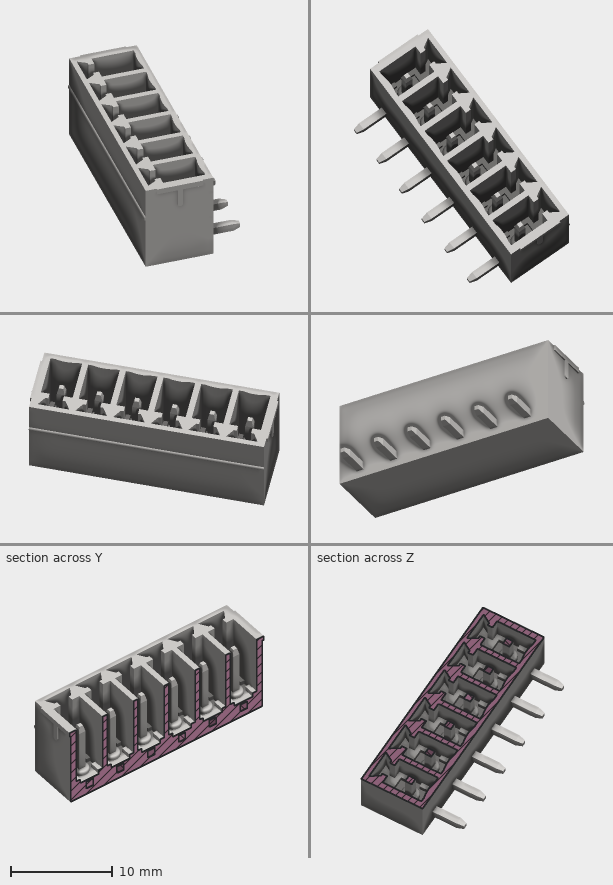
import cadquery as cq

ways = 6
pitch = 3.81
overall_length = 24.05
ear_thickness = 0.15
housing_length = overall_length - 2 * ear_thickness
housing_depth = 7.05
housing_height = 9.2

back_wall = 0.58
front_wall = 0.53
socket_width = 3.2
key_neck_width = 1.45
key_neck_depth = 0.6
key_shoulder_width = 2.05
key_wedge_depth = 0.94
floor_z = 2.4
wedge_y = front_wall + key_wedge_depth
chamber_front = wedge_y + key_neck_depth
chamber_back = housing_depth - back_wall
pin_setback = 2.8
pin_y = housing_depth - pin_setback

bulge_width = 2.24
bulge_rise = 0.15

well_width = bulge_width
well_ledge = 0.48
well_front = chamber_front + well_ledge
well_depth = 0.48
well_z = floor_z - well_depth
cross_slot_width = 0.8

boss_diameter = 1.92
boss_height = well_depth
boss_rounding = 0.25

ear_y = 3.55
ear_bar_length = 4.8
ear_bar_height = 0.58
ear_stem_width = 0.6
ear_total_height = 2.55

rib_radius = 0.25
rib_rise = 0.15
rib_drop = 3.42
rib_z = housing_height - rib_drop

pin_width = 0.8
tip_width = 0.45
tip_length = 0.75
leg_z = 1.23
leg_reach = 3.5
leg_end_y = housing_depth + leg_reach
contact_top = 7.82


def row_x():
    """X positions of the ways, centred on the housing."""
    return [(way - (ways - 1) / 2) * pitch for way in range(ways)]


def block(width, y_start, y_end, z_start, z_end):
    """Box centred on X = 0 between the given Y and Z limits."""
    return (
        cq.Workplane("XY", origin=(0, y_start, z_start))
        .box(width, y_end - y_start, z_end - z_start, centered=(True, False, False))
    )


def make_chamber():
    """Keyed hollow above the floor: main chamber, narrow neck and flared wedge."""
    half_outline = [
        (0, front_wall),
        (socket_width / 2, front_wall),
        (key_shoulder_width / 2, wedge_y),
        (key_neck_width / 2, wedge_y),
        (key_neck_width / 2, chamber_front),
        (socket_width / 2, chamber_front),
        (socket_width / 2, chamber_back),
        (0, chamber_back),
    ]
    return (
        cq.Workplane("XY", origin=(0, 0, floor_z))
        .polyline(half_outline)
        .mirrorY()
        .extrude(housing_height - floor_z)
    )


def make_bulge():
    """Shallow rounded swelling on the back wall of a socket, over its full depth."""
    return (
        cq.Workplane("XY", origin=(0, 0, well_z))
        .moveTo(-bulge_width / 2, chamber_back)
        .threePointArc((0, chamber_back - bulge_rise), (bulge_width / 2, chamber_back))
        .close()
        .extrude(housing_height - well_z)
    )


def make_boss():
    """Round boss standing in the well, with a rounded upper edge."""
    return (
        cq.Workplane("XY", origin=(0, pin_y, well_z))
        .circle(boss_diameter / 2)
        .extrude(boss_height)
        .faces(">Z")
        .edges()
        .fillet(boss_rounding)
    )


def make_socket():
    """Hollow of one socket at X = 0, with the bulge and the boss left standing."""
    half_slot = cross_slot_width / 2
    well = block(well_width, well_front, chamber_back, well_z, floor_z)
    cross_slot = block(socket_width, pin_y - half_slot, pin_y + half_slot, well_z, floor_z)
    hollow = make_chamber().union(well).union(cross_slot)
    return hollow.cut(make_bulge()).cut(make_boss())


def square_taper(plane, origin):
    """Tapered square tip growing along the normal of the plane."""
    return (
        cq.Workplane(plane, origin=origin)
        .rect(pin_width, pin_width)
        .workplane(offset=tip_length)
        .rect(tip_width, tip_width)
        .loft(ruled=True)
    )


def make_pin():
    """L-shaped pin at X = 0: upright contact and a leg leaving through the back."""
    half = pin_width / 2
    contact_shoulder = contact_top - tip_length
    leg_shoulder = leg_end_y - tip_length
    contact = block(pin_width, pin_y - half, pin_y + half, leg_z - half, contact_shoulder)
    leg = block(pin_width, pin_y - half, leg_shoulder, leg_z - half, leg_z + half)
    contact_tip = square_taper("XY", (0, pin_y, contact_shoulder))
    leg_tip = square_taper("ZX", (0, leg_shoulder, leg_z))
    return contact.union(leg).union(contact_tip).union(leg_tip)


def make_ear(side):
    """T-shaped ear on one end of the housing; side is -1 or 1."""
    half_stem = ear_stem_width / 2
    stem_end_z = housing_height - ear_total_height + half_stem
    bar_z = housing_height - ear_bar_height
    half_bar = ear_bar_length / 2
    return (
        cq.Workplane("YZ", origin=(side * housing_length / 2, 0, 0))
        .moveTo(ear_y - half_bar, housing_height)
        .lineTo(ear_y - half_bar, bar_z)
        .lineTo(ear_y - half_stem, bar_z)
        .lineTo(ear_y - half_stem, stem_end_z)
        .threePointArc((ear_y, housing_height - ear_total_height), (ear_y + half_stem, stem_end_z))
        .lineTo(ear_y + half_stem, bar_z)
        .lineTo(ear_y + half_bar, bar_z)
        .lineTo(ear_y + half_bar, housing_height)
        .close()
        .extrude(side * ear_thickness)
    )


def make_rib():
    """Round rod sunk into the front face so that only a low rib stands out."""
    return (
        cq.Workplane("YZ", origin=(-housing_length / 2, rib_radius - rib_rise, rib_z))
        .circle(rib_radius)
        .extrude(housing_length)
    )


def make_housing(pins):
    """Housing with ears, rib, sockets and a fitting passage for every pin."""
    body = block(housing_length, 0, housing_depth, 0, housing_height)
    body = body.union(make_rib())
    for side in (-1, 1):
        body = body.union(make_ear(side))
    socket = make_socket()
    for x in row_x():
        body = body.cut(socket.translate((x, 0, 0)))
    for pin in pins:
        body = body.cut(pin)
    return body


pin_shape = make_pin()
pins = [pin_shape.translate((x, 0, 0)) for x in row_x()]
housing = make_housing(pins)

result = cq.Compound.makeCompound([housing.val(), *[pin.val() for pin in pins]])